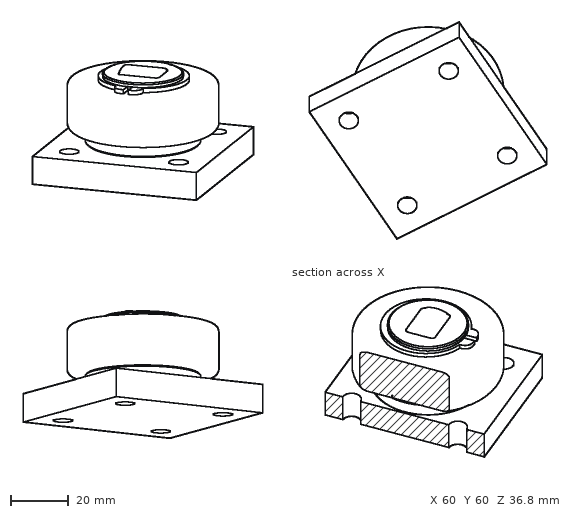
import cadquery as cq
import math

plate_side = 60.0
plate_thickness = 10.0
hole_diameter = 6.65
hole_spacing = 40.0

neck_diameter = 40.0
neck_chamfer = 0.5
roller_diameter = 52.5
roller_width = 17.0
roller_fillet = 2.0
roller_top = 32.0
roller_bottom = roller_top - roller_width
pin_diameter = 28.0
groove_diameter = 26.6
pin_top = 35.0
pin_chamfer = 0.5

ring_diameter = 31.5
ring_offset = 0.75
ring_top = 33.5
lug_width = 10.0
lug_reach = 18.0
lug_radius = 3.0
ring_gap = 1.8

pad_length = 15.0
pad_width = 11.0
pad_top = 36.75
pad_fillet = 1.0


def disc(diameter, bottom, top):
    """Upright cylinder on the Z axis between two levels."""
    return cq.Workplane("XY").workplane(offset=bottom).circle(diameter / 2).extrude(top - bottom)


def base_plate():
    plate = cq.Workplane("XY").box(plate_side, plate_side, plate_thickness, centered=(True, True, False))
    corners = plate.faces(">Z").workplane().rect(hole_spacing, hole_spacing, forConstruction=True)
    return corners.vertices().hole(hole_diameter)


def neck():
    return disc(neck_diameter, plate_thickness, roller_bottom).edges().chamfer(neck_chamfer)


def roller():
    return disc(roller_diameter, roller_bottom, roller_top).edges().fillet(roller_fillet)


def pin():
    """Pin end with a chamfered rim and a groove that seats the retaining ring."""
    head = disc(pin_diameter, ring_top, pin_top).faces(">Z").edges().chamfer(pin_chamfer)
    return disc(groove_diameter, roller_top, ring_top).union(head)


def lug_block(width):
    """Block as thick as the ring, reaching from the Z axis to the lug tips on the -Y side."""
    block = cq.Workplane("XY").box(width, lug_reach, ring_top - roller_top, centered=(True, False, False))
    return block.translate((0, -lug_reach, roller_top))


def retaining_ring():
    """Eccentric ring with a pair of round-cornered lugs, split by a gap on the -Y side."""
    rim = disc(ring_diameter, roller_top, ring_top).translate((0, ring_offset, 0))
    lugs = lug_block(lug_width).intersect(disc(2 * lug_reach, roller_top, ring_top))
    corner_x = lug_width / 2
    corner_y = -math.sqrt(lug_reach**2 - corner_x**2)
    for side in (-1, 1):
        corner = cq.selectors.NearestToPointSelector((side * corner_x, corner_y, (roller_top + ring_top) / 2))
        lugs = lugs.edges("|Z").edges(corner).fillet(lug_radius)
    bore = disc(groove_diameter, roller_top, ring_top)
    return rim.union(lugs).cut(lug_block(ring_gap)).cut(bore)


def domed_pad():
    """Cap of a round bar lying along X, with rounded ends, standing on the pin."""
    rise = pad_top - pin_top
    dome_radius = ((pad_width / 2) ** 2 + rise**2) / (2 * rise)
    bar = cq.Workplane("YZ").circle(dome_radius).extrude(pad_length / 2, both=True)
    bar = bar.edges().fillet(pad_fillet).translate((0, 0, pad_top - dome_radius))
    above_pin = (
        cq.Workplane("XY")
        .box(pad_length, pad_width, rise, centered=(True, True, False))
        .translate((0, 0, pin_top))
    )
    return bar.intersect(above_pin)


result = base_plate()
for piece in (neck(), roller(), pin(), retaining_ring(), domed_pad()):
    result = result.union(piece)